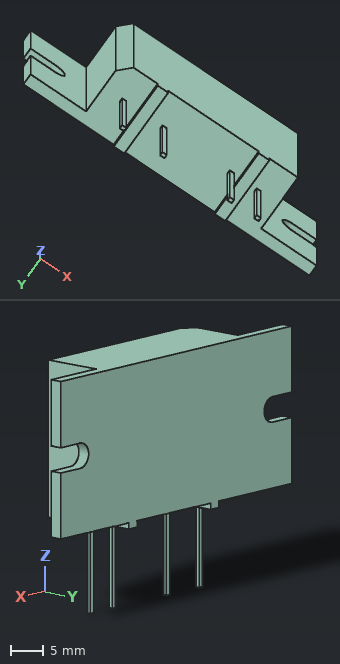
import cadquery as cq

flange_width = 54.0
flange_height = 25.0
flange_thickness = 2.0

slot_width = 4.0
slot_depth = 6.5

total_depth = 12.0
body_left = -16.5
body_right = 16.5
bevel = 2.0

rib_width = 2.0
rib_height = 1.0
rib_centers = (-8.95, 10.1)

pin_width = 0.8
pin_thickness = 0.65
pin_length = 15.0
pin_y = -6.6
first_pin_x = -12.75
pin_gaps = (7.6, 12.7, 5.1)


def block(x_min, x_max, y_min, y_max, z_min, z_max):
    """Box given by its limits along each axis."""
    size = (x_max - x_min, y_max - y_min, z_max - z_min)
    return cq.Workplane("XY").box(*size, centered=False).translate((x_min, y_min, z_min))


def make_flange():
    half_width = flange_width / 2
    plate = block(-half_width, half_width, -flange_thickness, 0, 0, flange_height)
    slots = (
        cq.Workplane("XZ")
        .pushPoints([(side * half_width, flange_height / 2) for side in (-1, 1)])
        .slot2D(2 * slot_depth, slot_width)
        .extrude(flange_thickness)
    )
    return plate.cut(slots)


def make_body():
    body = block(body_left, body_right, -total_depth, 0, 0, flange_height)
    return body.edges("|Z and <X and <Y").chamfer(bevel)


def make_rib(center_x):
    half = rib_width / 2
    return block(center_x - half, center_x + half, -total_depth, 0, -rib_height, 0)


def make_pin(center_x):
    half_x = pin_width / 2
    half_y = pin_thickness / 2
    return block(center_x - half_x, center_x + half_x, pin_y - half_y, pin_y + half_y, -pin_length, 0)


result = make_flange().union(make_body())

for rib_x in rib_centers:
    result = result.union(make_rib(rib_x))

pin_x = first_pin_x
result = result.union(make_pin(pin_x))
for gap in pin_gaps:
    pin_x += gap
    result = result.union(make_pin(pin_x))